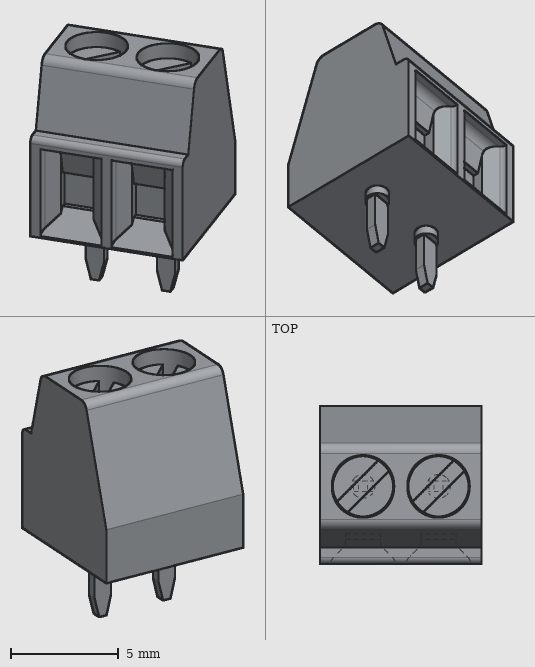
import cadquery as cq
import math


POLE_COUNT = 2
PITCH = 3.5
END_MARGIN = 2.0
WIDTH = (POLE_COUNT - 1) * PITCH + 2 * END_MARGIN
POLE_XS = [(i - (POLE_COUNT - 1) / 2) * PITCH for i in range(POLE_COUNT)]

FRONT_Y = -3.6
BACK_Y = 3.73
HEIGHT = 8.5
BACK_WALL_HEIGHT = 2.73
TOP_BACK_Y = 1.9
TOP_FRONT_Y = -1.92
FRONT_SLOPE_ANGLE = 15.0
LEDGE_Z = 5.12
LEDGE_Y = TOP_FRONT_Y - (HEIGHT - LEDGE_Z) * math.tan(math.radians(FRONT_SLOPE_ANGLE))
TOP_FILLET = 0.5
LEDGE_FILLET = 0.3

ENTRY_WIDTH = 3.0
ENTRY_BOTTOM_Z = 0.1
ENTRY_TOP_Z = 4.6
THROAT_WIDTH = 1.6
THROAT_BOTTOM_Z = 1.24
THROAT_TOP_Z = 2.98
ENTRY_DEPTH = 1.4
FUNNEL_DEPTH = THROAT_BOTTOM_Z - ENTRY_BOTTOM_Z
SIDE_RADIUS = 0.42
SIDE_ANGLE = 45.0
ROOF_RADIUS = 0.5
ROOF_CORNER_DEPTH = 0.73

SCREW_DIAMETER = 2.8
SCREW_HOLE_DIAMETER = 2.9
SCREW_RECESS = 0.75
SCREW_TOP_Z = HEIGHT - SCREW_RECESS
SCREW_LENGTH = 1.5
SCREW_BOTTOM_Z = SCREW_TOP_Z - SCREW_LENGTH
SLOT_WIDTH = 0.7
SLOT_DEPTH = 0.6
SLOT_ANGLE = 45.0

STEM_DIAMETER = 1.1
COLLAR_HEIGHT = 0.5
PIN_LENGTH = 3.5
PIN_WIDTH = 0.9
PIN_THICKNESS = 0.5
PIN_TIP_WIDTH = 0.4
PIN_TAPER_LENGTH = 1.0


def make_block():
    """Housing outline in the YZ plane, extruded across the full width."""
    block = (
        cq.Workplane("YZ")
        .moveTo(FRONT_Y, 0)
        .lineTo(BACK_Y, 0)
        .lineTo(BACK_Y, BACK_WALL_HEIGHT)
        .lineTo(TOP_BACK_Y, HEIGHT)
        .lineTo(TOP_FRONT_Y, HEIGHT)
        .lineTo(LEDGE_Y, LEDGE_Z)
        .lineTo(FRONT_Y, LEDGE_Z)
        .close()
        .extrude(WIDTH / 2, both=True)
    )
    block = block.faces(">Z").edges("|X").fillet(TOP_FILLET)
    ledge_edge = cq.selectors.NearestToPointSelector((0, FRONT_Y, LEDGE_Z))
    return block.edges(ledge_edge).fillet(LEDGE_FILLET)


def make_wire_entry():
    """Cutter for one wire entry: its plan shape crossed with its side shape."""
    back_y = FRONT_Y + ENTRY_DEPTH
    half_entry = ENTRY_WIDTH / 2
    half_throat = THROAT_WIDTH / 2

    bend = math.radians(SIDE_ANGLE)
    bend_x = half_entry - SIDE_RADIUS * (1 - math.cos(bend))
    bend_y = FRONT_Y + SIDE_RADIUS * math.sin(bend)
    arc_mid_x = half_entry - SIDE_RADIUS * (1 - math.cos(bend / 2))
    arc_mid_y = FRONT_Y + SIDE_RADIUS * math.sin(bend / 2)
    throat_y = bend_y + (bend_x - half_throat) / math.tan(bend)
    plan = (
        cq.Workplane("XY")
        .moveTo(-half_entry, FRONT_Y)
        .lineTo(half_entry, FRONT_Y)
        .threePointArc((arc_mid_x, arc_mid_y), (bend_x, bend_y))
        .lineTo(half_throat, throat_y)
        .lineTo(half_throat, back_y)
        .lineTo(-half_throat, back_y)
        .lineTo(-half_throat, throat_y)
        .lineTo(-bend_x, bend_y)
        .threePointArc((-arc_mid_x, arc_mid_y), (-half_entry, FRONT_Y))
        .close()
        .extrude(ENTRY_TOP_Z)
    )

    roof_corner_y = FRONT_Y + ROOF_CORNER_DEPTH
    funnel_end_y = FRONT_Y + FUNNEL_DEPTH
    side = (
        cq.Workplane("YZ")
        .moveTo(FRONT_Y, ENTRY_BOTTOM_Z)
        .lineTo(funnel_end_y, THROAT_BOTTOM_Z)
        .lineTo(back_y, THROAT_BOTTOM_Z)
        .lineTo(back_y, THROAT_TOP_Z)
        .lineTo(funnel_end_y, THROAT_TOP_Z)
        .lineTo(roof_corner_y, ENTRY_TOP_Z)
        .lineTo(FRONT_Y, ENTRY_TOP_Z)
        .close()
        .extrude(half_entry, both=True)
    )
    roof_corner = cq.selectors.NearestToPointSelector((0, roof_corner_y, ENTRY_TOP_Z))
    side = side.edges(roof_corner).fillet(ROOF_RADIUS)
    return plan.intersect(side)


def make_cylinder(diameter, bottom_z, top_z):
    """Upright cylinder on the pole axis."""
    return cq.Workplane("XY", origin=(0, 0, bottom_z)).circle(diameter / 2).extrude(top_z - bottom_z)


def make_housing():
    """Block with a wire entry, a screw hole and a stem hole at each pole."""
    cutter = (
        make_cylinder(SCREW_HOLE_DIAMETER, SCREW_BOTTOM_Z, HEIGHT)
        .union(make_cylinder(STEM_DIAMETER, 0, SCREW_BOTTOM_Z))
    )
    entry = make_wire_entry()
    housing = make_block()
    for pole_x in POLE_XS:
        housing = housing.cut(cutter.translate((pole_x, 0, 0)))
        housing = housing.cut(entry.translate((pole_x, 0, 0)))
    return housing


def make_pin():
    """Flat solder pin with a tapered tip, below the collar."""
    half_width = PIN_WIDTH / 2
    half_tip = PIN_TIP_WIDTH / 2
    taper_z = PIN_TAPER_LENGTH - PIN_LENGTH
    return (
        cq.Workplane("XZ")
        .moveTo(-half_width, -COLLAR_HEIGHT)
        .lineTo(half_width, -COLLAR_HEIGHT)
        .lineTo(half_width, taper_z)
        .lineTo(half_tip, -PIN_LENGTH)
        .lineTo(-half_tip, -PIN_LENGTH)
        .lineTo(-half_width, taper_z)
        .close()
        .extrude(PIN_THICKNESS / 2, both=True)
    )


def make_terminal():
    """Slotted screw, stem with its collar, and solder pin as one metal part."""
    slot = (
        cq.Workplane("XY", origin=(0, 0, SCREW_TOP_Z - SLOT_DEPTH))
        .rect(SCREW_HOLE_DIAMETER, SLOT_WIDTH)
        .extrude(SLOT_DEPTH)
        .rotate((0, 0, 0), (0, 0, 1), SLOT_ANGLE)
    )
    screw = make_cylinder(SCREW_DIAMETER, SCREW_BOTTOM_Z, SCREW_TOP_Z).cut(slot)
    stem = make_cylinder(STEM_DIAMETER, -COLLAR_HEIGHT, SCREW_BOTTOM_Z)
    return screw.union(stem).union(make_pin())


housing = make_housing()
terminal = make_terminal()
terminals = [terminal.translate((pole_x, 0, 0)) for pole_x in POLE_XS]

result = cq.Compound.makeCompound([housing.val(), *[t.val() for t in terminals]])